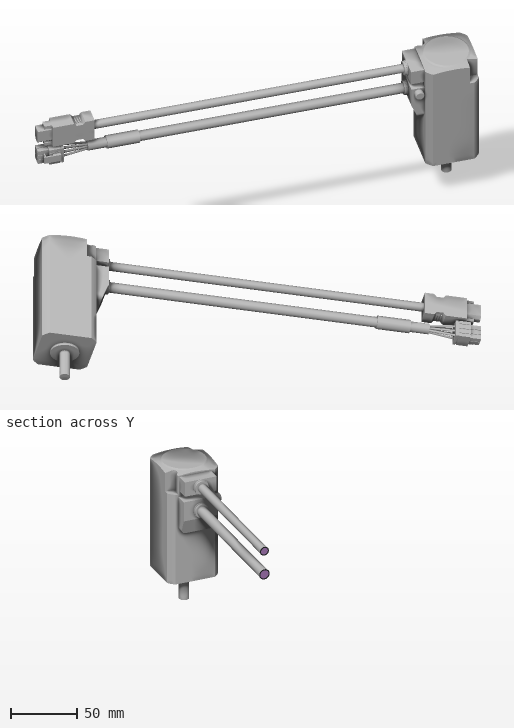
import cadquery as cq


flange = 42.0
half = flange / 2
corner_radius = 26.5
motor_height = 93.4
cable_end_y = -321.0

shaft_radius = 4.0
shaft_length = 24.0
pilot_radius = 11.0
pilot_height = 2.0

lid_radius = 17.0
lid_rim_radius = 18.3
lid_rim_drop = 0.8
crown_drop = 2.8

screw_pocket_floor = 75.5
screw_pocket_size = 8.4
screw_mouth_width = 6.9
screw_radius = 3.2

connector_front_y = -half - 10.2
encoder_axis_z = 84.0
power_axis_z = 64.5

encoder_block_width = 26.0
encoder_block_height = 12.0
encoder_cable_radius = 3.4

power_block_width = 27.8
power_block_top = 73.4
power_block_bend = 57.4
power_block_bottom = 44.5
power_block_foot = 5.1
power_block_round = 4.0
power_cable_radius = 4.0

gland_step_length = 1.0
gland_step_radius = 5.9
gland_length = 2.8
gland_radius = 5.5

knob_radius = 3.5
knob_length = 4.4
knob_chamfer = 0.5
knob_y = -25.6
knob_z = 69.0

plug_width = 12.0
nose_width = 8.0
encoder_plug_start_y = -277.1
encoder_plug_end_y = -309.7
encoder_plug_height = 2 * (motor_height - encoder_axis_z)
encoder_nose_height = 12.2
nose_key = 2.2
grip_start_y = -284.4
grip_length = 8.8
grip_depth = 2.4
grip_run = 1.8
grip_tooth_width = 6.0
grip_tooth_length = 0.8
grip_tooth_height = 0.9
grip_tooth_pitch = 1.8
grip_tooth_count = 3
catch_end_y = -315.6
catch_width = 6.0
catch_thickness = 2.3
catch_hook = 0.8

sleeve_start_y = -241.1
sleeve_end_y = -266.6
sleeve_radius = 5.1
tail_end_y = -281.4
tail_radius = 4.0

power_plug_start_y = -301.0
power_plug_shoulder_y = -312.6
power_plug_height = 14.0
power_collar_length = 2.0
collar_groove_length = 0.9
collar_groove_depth = 0.5
cell_pitch = 4.2
cell_size = 3.7
cell_columns = 2
cell_rows = 3
cell_core_inset = 0.4
socket_size = 2.0
socket_depth = 6.0
rib_groove_width = 0.7
rib_groove_depth = 0.5
wire_radius = 0.85
wire_start_pitch = 2.0
wire_embed = 1.0

lever_thickness = 1.2
lever_reach = 8.6
lever_width = 6.0
lever_start_y = -304.0
lever_end_y = -317.2
lever_root_length = 6.0
lever_tip_y = -315.5
lever_tip_length = 1.0


def box(x0, x1, y0, y1, z0, z1):
    """Box between opposite corners."""
    size = (x1 - x0, y1 - y0, z1 - z0)
    return cq.Workplane("XY").box(*size, centered=False).translate((x0, y0, z0))


def centred_box(width, height, y0, y1, z):
    """Box centred on X = 0 and on the given height."""
    return box(-width / 2, width / 2, y0, y1, z - height / 2, z + height / 2)


def rod(radius, y0, y1, z):
    """Cylinder along Y, running from y0 down to y1."""
    return cq.Workplane("XZ", origin=(0, y0, z)).circle(radius).extrude(y0 - y1)


def screw_pockets():
    """Two opposite corner pockets that open the top of the housing."""
    depth = motor_height - screw_pocket_floor
    inner = half - screw_pocket_size
    screw = inner + screw_radius
    front = box(-half, -screw, -half, -inner, screw_pocket_floor, motor_height)
    mouth = box(-half, -half + screw_mouth_width, -half, -screw, screw_pocket_floor, motor_height)
    bore = (
        cq.Workplane("XY", origin=(-screw, -screw, screw_pocket_floor))
        .circle(screw_radius)
        .extrude(depth)
    )
    rear = box(inner, half, inner, half, screw_pocket_floor, motor_height)
    rear = rear.cut(
        cq.Workplane("XY", origin=(0, 0, screw_pocket_floor)).circle(lid_rim_radius).extrude(depth)
    )
    return front.union(mouth).union(bore).union(rear)


def motor():
    """Square housing with crowned top, screw pockets, pilot and shaft."""
    square = cq.Workplane("XY").rect(flange, flange).extrude(motor_height)
    crown = (
        cq.Workplane("XZ")
        .moveTo(0, 0)
        .lineTo(corner_radius, 0)
        .lineTo(corner_radius, motor_height - crown_drop)
        .lineTo(lid_rim_radius, motor_height - lid_rim_drop)
        .lineTo(lid_radius, motor_height)
        .lineTo(0, motor_height)
        .close()
        .revolve(360, (0, 0, 0), (0, 1, 0))
    )
    housing = square.intersect(crown).cut(screw_pockets())
    pilot = cq.Workplane("XY").circle(pilot_radius).extrude(-pilot_height)
    shaft = cq.Workplane("XY").circle(shaft_radius).extrude(-shaft_length)
    return housing.union(pilot).union(shaft)


def gland(z):
    """Stepped cable gland on the front of a connector block."""
    step = rod(gland_step_radius, connector_front_y, connector_front_y - gland_step_length, z)
    return step.union(rod(gland_radius, connector_front_y, connector_front_y - gland_length, z))


def encoder_block():
    """Upper connector block with its gland."""
    block = centred_box(
        encoder_block_width, encoder_block_height, connector_front_y, -half, encoder_axis_z
    )
    return block.union(gland(encoder_axis_z))


def power_block():
    """Lower connector block with a sloped underside, gland and locking screw."""
    side = (
        cq.Workplane("YZ", origin=(-power_block_width / 2, 0, 0))
        .moveTo(-half, power_block_top)
        .lineTo(connector_front_y, power_block_top)
        .lineTo(connector_front_y, power_block_bend)
        .lineTo(-half - power_block_foot, power_block_bottom)
        .lineTo(-half, power_block_bottom)
        .close()
        .extrude(power_block_width)
    )
    outline = (
        box(
            -power_block_width / 2, power_block_width / 2,
            connector_front_y, -half,
            power_block_bottom, power_block_top,
        )
        .edges("|Y and <Z")
        .fillet(power_block_round)
    )
    knob = (
        cq.Workplane("YZ", origin=(power_block_width / 2, knob_y, knob_z))
        .circle(knob_radius)
        .extrude(knob_length)
        .faces(">X")
        .chamfer(knob_chamfer)
    )
    return side.intersect(outline).union(knob).union(gland(power_axis_z))


def grip(side):
    """Thumb recess on the top (side = 1) or bottom (side = -1) of the encoder plug."""
    face_z = encoder_axis_z + side * encoder_plug_height / 2
    floor_z = face_z - side * grip_depth
    end_y = grip_start_y - grip_length
    return (
        cq.Workplane("YZ", origin=(-plug_width / 2, 0, 0))
        .moveTo(grip_start_y, face_z)
        .lineTo(grip_start_y - grip_run, floor_z)
        .lineTo(end_y + grip_run, floor_z)
        .lineTo(end_y, face_z)
        .close()
        .extrude(plug_width)
    )


def grip_teeth(side):
    """Row of small cross ribs on the floor of a thumb recess."""
    floor = encoder_plug_height / 2 - grip_depth
    z = encoder_axis_z + side * floor
    middle_y = grip_start_y - grip_length / 2
    teeth = cq.Workplane("XY")
    for i in range(grip_tooth_count):
        y = middle_y + (i - (grip_tooth_count - 1) / 2) * grip_tooth_pitch
        teeth = teeth.union(
            centred_box(
                grip_tooth_width, 2 * grip_tooth_height,
                y - grip_tooth_length / 2, y + grip_tooth_length / 2, z,
            )
        )
    return teeth


def catch(side):
    """Spring catch with a small inward hook, above or below the encoder nose."""
    outer = encoder_axis_z + side * encoder_plug_height / 2
    arm_z = outer - side * catch_thickness / 2
    arm = centred_box(catch_width, catch_thickness, catch_end_y, encoder_plug_end_y, arm_z)
    hook_z = arm_z - side * catch_hook
    return arm.union(
        centred_box(catch_width, catch_thickness, catch_end_y, catch_end_y + catch_hook, hook_z)
    )


def encoder_cable():
    """Thin upper cable with its rectangular plug."""
    cable = rod(encoder_cable_radius, connector_front_y, encoder_plug_start_y, encoder_axis_z)
    plug = centred_box(
        plug_width, encoder_plug_height, encoder_plug_end_y, encoder_plug_start_y, encoder_axis_z
    )
    nose = centred_box(
        nose_width, encoder_nose_height, cable_end_y, encoder_plug_end_y, encoder_axis_z
    )
    nose = nose.edges("|Y and <Z").chamfer(nose_key)
    for side in (1, -1):
        plug = plug.cut(grip(side)).union(grip_teeth(side)).union(catch(side))
    return cable.union(plug).union(nose)


def cell_offsets():
    """Column and row numbers of the contact grid, counted from its centre."""
    return [
        (col - (cell_columns - 1) / 2, row - (cell_rows - 1) / 2)
        for col in range(cell_columns)
        for row in range(cell_rows)
    ]


def wire(col, row):
    """Straight wire from the cable tail to its own contact in the power plug."""
    start = cq.Vector(
        col * wire_start_pitch, tail_end_y + wire_embed, power_axis_z + row * wire_start_pitch
    )
    end = cq.Vector(
        col * cell_pitch, power_plug_start_y - wire_embed, power_axis_z + row * cell_pitch
    )
    run = end - start
    return cq.Workplane(cq.Solid.makeCylinder(wire_radius, run.Length, start, run))


def lever():
    """Latch lever along the +X side of the power plug."""
    z0 = power_axis_z - lever_width / 2
    z1 = power_axis_z + lever_width / 2
    arm = box(lever_reach - lever_thickness, lever_reach, lever_end_y, lever_start_y, z0, z1)
    root = box(plug_width / 2, lever_reach, lever_start_y - lever_root_length, lever_start_y, z0, z1)
    tip = box(cell_pitch / 2, lever_reach, lever_tip_y - lever_tip_length, lever_tip_y, z0, z1)
    return arm.union(root).union(tip)


def power_plug():
    """Six-way plug with separate contact cells, side grooves and latch lever."""
    body = centred_box(
        plug_width, power_plug_height, power_plug_shoulder_y, power_plug_start_y, power_axis_z
    )
    groove_y = power_plug_start_y - power_collar_length
    ring = centred_box(
        plug_width, power_plug_height, groove_y - collar_groove_length, groove_y, power_axis_z
    )
    ring_core = centred_box(
        plug_width - 2 * collar_groove_depth, power_plug_height - 2 * collar_groove_depth,
        groove_y - collar_groove_length, groove_y, power_axis_z,
    )
    body = body.cut(ring.cut(ring_core))
    for row in range(cell_rows):
        z = power_axis_z + (row - (cell_rows - 1) / 2) * cell_pitch
        for side in (1, -1):
            groove = centred_box(
                2 * rib_groove_depth, rib_groove_width, power_plug_shoulder_y, groove_y, z
            )
            body = body.cut(groove.translate((side * plug_width / 2, 0, 0)))

    core_width = (cell_columns - 1) * cell_pitch + cell_size - 2 * cell_core_inset
    core_height = (cell_rows - 1) * cell_pitch + cell_size - 2 * cell_core_inset
    plug = body.union(
        centred_box(core_width, core_height, cable_end_y, power_plug_shoulder_y, power_axis_z)
    )
    for col, row in cell_offsets():
        cell = centred_box(cell_size, cell_size, cable_end_y, power_plug_shoulder_y, power_axis_z)
        plug = plug.union(cell.translate((col * cell_pitch, 0, row * cell_pitch)))
    plug = plug.union(lever())
    for col, row in cell_offsets():
        socket = centred_box(
            socket_size, socket_size, cable_end_y, cable_end_y + socket_depth, power_axis_z
        )
        plug = plug.cut(socket.translate((col * cell_pitch, 0, row * cell_pitch)))
    return plug


def power_cable():
    """Thick lower cable with sleeve, tail, fanned wires and plug."""
    cable = (
        rod(power_cable_radius, connector_front_y, sleeve_end_y, power_axis_z)
        .union(rod(sleeve_radius, sleeve_start_y, sleeve_end_y, power_axis_z))
        .union(rod(tail_radius, sleeve_end_y, tail_end_y, power_axis_z))
        .union(power_plug())
    )
    for col, row in cell_offsets():
        cable = cable.union(wire(col, row))
    return cable


result = (
    motor()
    .union(encoder_block())
    .union(power_block())
    .union(encoder_cable())
    .union(power_cable())
)